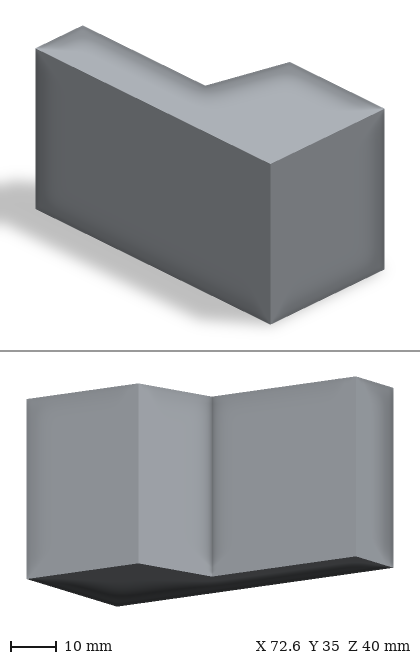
import cadquery as cq

length = 72.6
depth = 35.0
height = 40.0

leg_depth = 14.5
leg_length = 37.85
block_back_length = 29.35

left = -length / 2
right = length / 2
outline = [
    (left, 0),
    (right, 0),
    (right, depth),
    (right - block_back_length, depth),
    (left + leg_length, leg_depth),
    (left, leg_depth),
]

result = cq.Workplane("XY").polyline(outline).close().extrude(height)